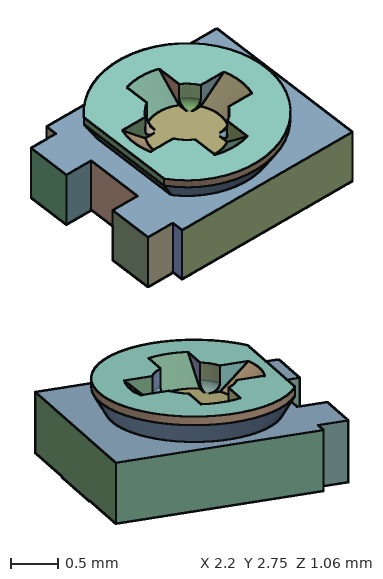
import cadquery as cq
import math


body_width = 2.2
length = 2.75
terminal_length = 0.35
terminal_gap = 0.75
terminal_outer_width = 1.898
terminal_width = (terminal_outer_width - terminal_gap) / 2
rear_pad_length = 0.75
standoff = 0.01
back_y = length / 2
front_y = terminal_length - length / 2

total_height = 1.06
rim_height = 0.1
skirt_height = 0.25
skirt_angle = 30.0
dial_radius = body_width / 2
flat_distance = 0.888
body_top = total_height - rim_height - skirt_height

recess_depth = 0.3
recess_floor_radius = 0.45
recess_floor_fillet = 0.1
cross_reach = 0.75
cross_slot_width = 0.455
recess_floor = total_height - recess_depth


def block(width, near_y, far_y, bottom, top, center_x=0.0):
    """Rectangular block between two Y positions and two heights."""
    return (
        cq.Workplane("XY")
        .box(width, far_y - near_y, top - bottom, centered=(True, False, False))
        .translate((center_x, near_y, bottom))
    )


def make_housing():
    housing = block(body_width, front_y, back_y, standoff, body_top)
    terminal_x = (terminal_gap + terminal_width) / 2
    for side in (-1, 1):
        terminal = block(terminal_width, -length / 2, front_y, 0, body_top, side * terminal_x)
        housing = housing.union(terminal)
    rear_pad = block(terminal_gap, back_y - rear_pad_length, back_y, 0, standoff)
    return housing.union(rear_pad)


def dial_outline(height, inset):
    """Circle with one flat toward -Y, drawn in from the rim by the inset."""
    radius = dial_radius - inset
    flat_y = flat_distance - inset
    flat_half_length = math.sqrt(radius**2 - flat_y**2)
    return (
        cq.Workplane("XY", origin=(0, 0, height))
        .moveTo(-flat_half_length, -flat_y)
        .lineTo(flat_half_length, -flat_y)
        .threePointArc((0, radius), (-flat_half_length, -flat_y))
        .close()
    )


def make_dial():
    """Upright rim over a skirt that narrows evenly toward the housing."""
    skirt_inset = skirt_height * math.tan(math.radians(skirt_angle))
    rim_bottom = body_top + skirt_height
    rim = dial_outline(rim_bottom, 0).extrude(rim_height)
    lower_wire = dial_outline(body_top, skirt_inset).val()
    upper_wire = dial_outline(rim_bottom, 0).val()
    skirt = cq.Workplane(cq.Solid.makeLoft([lower_wire, upper_wire], True))
    return skirt.union(rim)


def make_recess():
    """Round well with a filleted floor, joined by four slots with sloping ends."""
    floor = cq.Workplane("XY", origin=(0, 0, recess_floor))
    well = floor.circle(recess_floor_radius).extrude(recess_depth)
    well = well.faces("<Z").edges().fillet(recess_floor_fillet)
    slot_length = 2 * cross_reach
    cross = floor.rect(slot_length, cross_slot_width).extrude(recess_depth)
    cross = cross.union(floor.rect(cross_slot_width, slot_length).extrude(recess_depth))
    cone = cq.Workplane(
        cq.Solid.makeCone(recess_floor_radius, cross_reach, recess_depth, cq.Vector(0, 0, recess_floor))
    )
    return well.union(cross.intersect(cone))


result = make_housing().union(make_dial()).cut(make_recess())